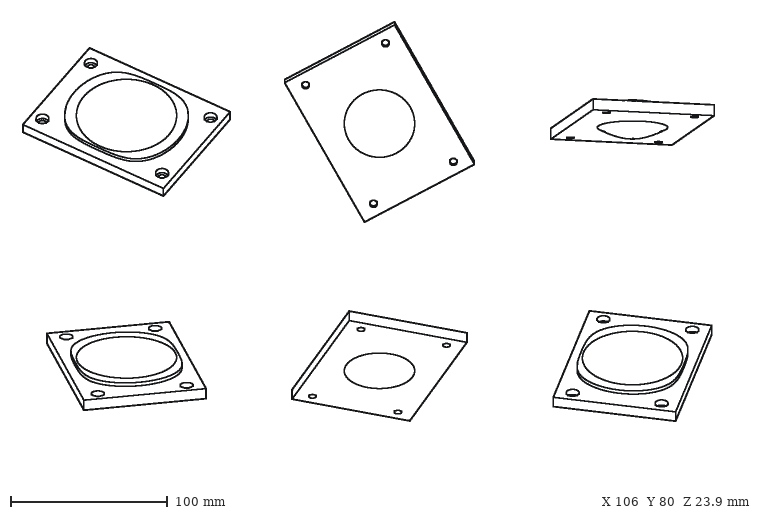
import cadquery as cq

plate_length = 106.0
plate_width = 80.0
plate_thickness = 7.1

pad_length = 78.3
pad_width = 67.2
pad_height = 2.4
pad_corner_x = 24.5
pad_corner_y = 29.8

top_dome_radius = 32.0
top_dome_height = 7.4
top_dome_edge_slope = 0.37
bottom_dome_radius = 22.5
bottom_dome_height = 7.0
bottom_dome_edge_slope = 0.54

hole_spacing_x = 90.1
hole_spacing_y = 58.1
hole_diameter = 4.7
counterbore_diameter = 8.3
counterbore_depth = 3.9


def make_pad():
    """Pad outlined by two smooth halves, symmetric about the X and Y axes."""
    right_half = [
        (0, -pad_width / 2),
        (pad_corner_x, -pad_corner_y),
        (pad_length / 2, 0),
        (pad_corner_x, pad_corner_y),
        (0, pad_width / 2),
    ]
    left_half = [(-x, -y) for x, y in right_half]
    return (
        cq.Workplane("XY")
        .workplane(offset=plate_thickness)
        .spline(right_half, tangents=[(1, 0), (-1, 0)], scale=False)
        .spline(left_half, tangents=[(-1, 0), (1, 0)], scale=False)
        .close()
        .extrude(pad_height)
    )


def make_dome(radius, height, edge_slope, base_z, direction):
    """Revolved dome, level at its crown; direction is +1 for up and -1 for down."""
    third = radius / 3
    crown_z = base_z + direction * height
    profile = [
        (0, crown_z),
        (third, crown_z),
        (2 * third, base_z + direction * edge_slope * third),
        (radius, base_z),
    ]
    return (
        cq.Workplane("XZ")
        .moveTo(0, crown_z)
        .bezier(profile)
        .lineTo(0, base_z)
        .close()
        .revolve(360, (0, 0, 0), (0, 1, 0))
    )


plate = (
    cq.Workplane("XY")
    .box(plate_length, plate_width, plate_thickness, centered=(True, True, False))
    .faces(">Z")
    .workplane()
    .rarray(hole_spacing_x, hole_spacing_y, 2, 2)
    .cboreHole(hole_diameter, counterbore_diameter, counterbore_depth)
)
pad_top = plate_thickness + pad_height
top_dome = make_dome(top_dome_radius, top_dome_height, top_dome_edge_slope, pad_top, 1)
bottom_dome = make_dome(bottom_dome_radius, bottom_dome_height, bottom_dome_edge_slope, 0, -1)

result = plate.union(make_pad()).union(top_dome).union(bottom_dome)